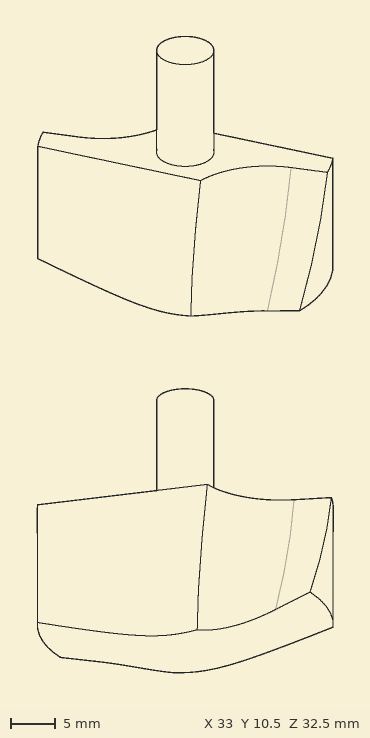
import cadquery as cq
import math

blade_radius = 16.5
blade_thickness = 10.45
blade_top = 19.45
point_height = 5.08

shank_diameter = 6.4
overall_height = 32.5

land_inner = (12.2, 1.45)
land_angle = 8.0
flute_start_x = 4.1
flute_twist = 31.7
flute_reach = 19.8
flute_side_depth = 13.2


def make_blade():
    """Pointed cylinder trimmed to a slab of constant thickness."""
    pointed_cylinder = (
        cq.Workplane("XZ")
        .moveTo(0, 0)
        .lineTo(blade_radius, point_height)
        .lineTo(blade_radius, blade_top)
        .lineTo(0, blade_top)
        .close()
        .revolve(360, (0, 0, 0), (0, 1, 0))
    )
    slab = cq.Workplane("XY").box(
        2 * blade_radius, blade_thickness, blade_top, centered=(True, True, False)
    )
    return pointed_cylinder.intersect(slab)


def make_flute():
    """Helical cutter whose section reaches its nominal angle at the blade top."""
    land_slope = math.tan(math.radians(land_angle))
    land_outer_y = land_inner[1] + (flute_reach - land_inner[0]) * land_slope
    section_at_point = cq.Workplane("XY").transformed(rotate=(0, 0, -flute_twist))
    return (
        section_at_point
        .moveTo(flute_reach, land_outer_y)
        .lineTo(*land_inner)
        .tangentArcPoint((flute_start_x, -blade_thickness / 2), relative=False)
        .lineTo(flute_start_x, -flute_side_depth)
        .lineTo(flute_reach, -flute_side_depth)
        .close()
        .twistExtrude(blade_top, flute_twist)
    )


def make_shank():
    shank_length = overall_height - blade_top
    return (
        cq.Workplane("XY", origin=(0, 0, blade_top))
        .circle(shank_diameter / 2)
        .extrude(shank_length)
    )


blade = make_blade()
flute = make_flute()
for angle in (0, 180):
    blade = blade.cut(flute.rotate((0, 0, 0), (0, 0, 1), angle))

result = blade.union(make_shank())